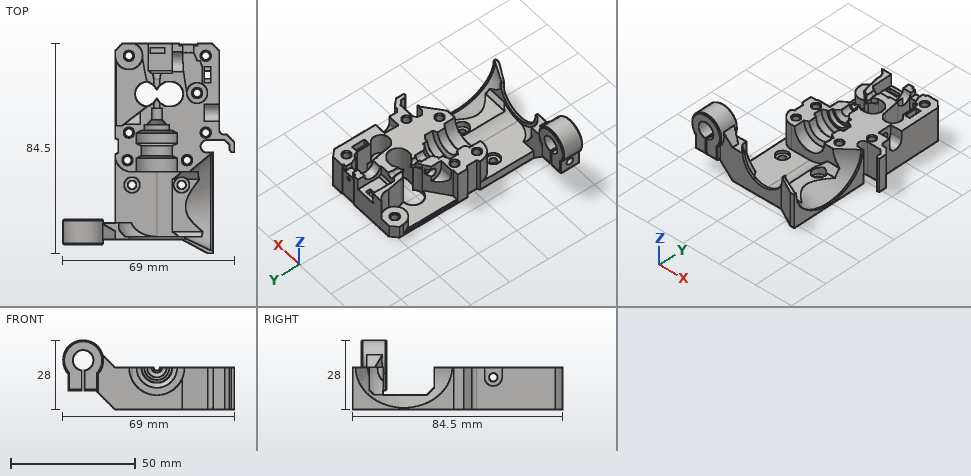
import cadquery as cq


body_height = 17.0
body_left = -16.8
body_right = 25.2
body_rear = 78.9
duct_right = 22.65
corner_chamfer = 2.95
wing_front = -5.6
wing_start = 10.1
wing_tip = 20.45
arm_depth = 6.7
arm_end = -24.4
arm_relief_start = -22.4
arm_relief_y = 3.4

clamp_x = -29.7
clamp_z = 19.85
clamp_radius = 8.1
clamp_bore = 8.2
clamp_front = -2.0
clamp_length = 10.1
clamp_leg_half_width = 6.1
clamp_bottom = 7.7
clamp_slit = 0.9
clamp_edge_chamfer = 0.5
clamp_screw_diameter = 3.4
clamp_screw_y = 3.1
clamp_screw_z = 11.75
clamp_screw_end = -24.5

screw_diameter = 3.3
screw_mouth_diameter = 4.3
screw_left_x = -11.2
screw_right_x = 19.7
screw_rear_y = 73.9
screw_middle_y = 43.0
screw_front_left_x = -11.8
screw_front_right_x = 12.2
screw_front_y = 31.9

recess_floor = 1.8
recess_front = 45.9
recess_corner_x = -13.9
recess_edge_chamfer = 0.5
boss_height = 6.4
boss_radius = 5.5
idler_pivot = (16.2, 59.0)
idler_pivot_radius = 4.1

gear_y = 58.6
gear_radius = 4.9
gear_offset = 3.8
gear_slot_shift = 1.9
gear_lip_bottom = 14.4
gear_lip_outline = (
    (-3.6, 4.9),
    (-1.3, 3.55),
    (0, 1.8),
    (1.3, 3.55),
    (3.6, 4.9),
)

latch_left = -3.5
latch_right = 6.2
latch_front = 67.0
latch_ramp = 1.0
latch_corner_x = -2.2
latch_floor = 11.2
latch_slot_x = (-2.7, 3.1)
latch_slot_y = (75.0, 77.15)
latch_slot_depth = 1.7

spring_y = 71.6
spring_radius = 4.0
spring_end = 10.6
tension_block_left = 10.5
tension_block_right = 14.9
tension_block_front = 75.2
tension_block_drop = 2.5
tension_hole_diameter = 1.8
tension_hole_z = 11.8
rear_groove_left = 8.95
rear_groove_right = 16.4
rear_groove_depth = 0.3
washer_slot_depth = 0.85

nut_slot_x = (19.2, 21.6)
nut_slot_wide_y = (63.1, 69.5)
nut_slot_through_y = (64.8, 67.8)

cross_y = 51.0
cross_z = 13.0
cross_diameter = 3.3
cross_mouth_diameter = 4.05
cross_head_radius = 4.65
cross_head_end = -6.8
cross_mouth_end = -4.2
cross_nut_diameter = 7.0
cross_nut_start = 19.2

chamber_front = 1.2
chamber_rear = 27.2
chamber_right = 19.5
chamber_radius = 12.7
chamber_step_floor = 5.9
chamber_ramp_rear = 3.0
chamber_ramp_front = 1.95
chamber_corner_radius = 6.8
front_opening_radius = 11.15
flare_left_limit = -15.4
duct_screw_x = 10.0
duct_screw_y = 22.0
duct_screw_diameter = 3.4
duct_head_diameter = 6.3
duct_head_floor = 2.95
funnel_start = 11.4
funnel_end = 21.7
funnel_start_y = 13.2
funnel_end_y = 15.0
funnel_start_radii = (12.7, 11.0)
funnel_end_radii = (19.4, 16.2)


def box(x_range, y_range, z_range):
    """Block spanning the given (low, high) ranges."""
    size = [high - low for low, high in (x_range, y_range, z_range)]
    corner = (x_range[0], y_range[0], z_range[0])
    return cq.Workplane("XY").box(*size, centered=False).translate(corner)


def upright(points, bottom=0, top=body_height):
    """Vertical prism over a closed outline."""
    return cq.Workplane("XY").workplane(offset=bottom).polyline(points).close().extrude(top - bottom)


def post(center, radius, bottom=0, top=body_height):
    """Vertical cylinder."""
    return cq.Workplane("XY").workplane(offset=bottom).center(*center).circle(radius).extrude(top - bottom)


def rod_x(y, z, radius, start, end):
    """Cylinder along X."""
    return cq.Workplane("YZ", origin=(start, y, z)).circle(radius).extrude(end - start)


def rod_y(x, z, radius, start, end):
    """Cylinder along Y."""
    return cq.Workplane("XZ", origin=(x, start, z)).circle(radius).extrude(start - end)


def plate_body():
    outline = (
        cq.Workplane("XY")
        .moveTo(body_left, 0)
        .lineTo(wing_start, 0)
        .lineTo(wing_tip, wing_front)
        .lineTo(duct_right, wing_front)
        .lineTo(duct_right, 35.1)
        .lineTo(20.1, 35.1)
        .threePointArc((17.7, 37.5), (20.1, 40.0))
        .lineTo(27.3, 40.0)
        .lineTo(29.2, 38.1)
        .lineTo(29.2, 36.2)
        .lineTo(30.0, 35.1)
        .lineTo(31.2, 35.1)
        .lineTo(31.2, 39.2)
        .lineTo(28.1, 42.3)
        .lineTo(26.95, 42.3)
        .threePointArc((25.7, 42.8), (body_right, 44.1))
        .lineTo(body_right, body_rear - corner_chamfer)
        .lineTo(body_right - corner_chamfer, body_rear)
        .lineTo(body_left + corner_chamfer, body_rear)
        .lineTo(body_left, body_rear - corner_chamfer)
        .lineTo(body_left, 40.7)
        .lineTo(-15.55, 40.1)
        .lineTo(-15.55, 35.0)
        .lineTo(body_left, 34.3)
        .close()
    )
    return outline.extrude(body_height)


def clamp_arm():
    rise = body_left - arm_end
    points = [
        (body_left, 0),
        (body_left, body_height),
        (arm_end, body_height + rise),
        (arm_end, rise),
    ]
    arm = cq.Workplane("XZ").polyline(points).close().extrude(-arm_depth)
    relief = upright(
        [
            (arm_relief_start, arm_depth),
            (body_left, arm_relief_y),
            (body_left, arm_depth),
        ],
        body_height,
        clamp_z + clamp_radius,
    )
    return arm.cut(relief)


def clamp_ring():
    ring = rod_y(clamp_x, clamp_z, clamp_radius, clamp_front, clamp_front + clamp_length)
    legs = box(
        (clamp_x - clamp_leg_half_width, clamp_x + clamp_leg_half_width),
        (clamp_front, clamp_front + clamp_length),
        (clamp_bottom, clamp_z),
    )
    return ring.union(legs).faces("<Y or >Y").edges().chamfer(clamp_edge_chamfer)


def clamp_cuts():
    bore = rod_y(clamp_x, clamp_z, clamp_bore / 2, clamp_front, clamp_front + clamp_length)
    slit = box(
        (clamp_x - clamp_slit / 2, clamp_x + clamp_slit / 2),
        (clamp_front, clamp_front + clamp_length),
        (clamp_bottom, clamp_z),
    )
    screw = rod_x(
        clamp_screw_y, clamp_screw_z, clamp_screw_diameter / 2,
        clamp_x - clamp_radius, clamp_screw_end,
    )
    return bore.union(slit).union(screw)


def side_recess():
    """Open recess on the left side, with the rear screw boss left standing in it."""
    floor_area = upright(
        [
            (body_left, recess_front),
            (recess_corner_x, recess_front),
            (-gear_offset, gear_y - gear_radius),
            (-gear_offset, gear_y),
            (-gear_offset, gear_y + gear_radius),
            (-4.4, 65.2),
            (screw_left_x + boss_radius, 72.7),
            (screw_left_x, screw_rear_y),
            (body_left, screw_rear_y),
        ],
        recess_floor,
    )
    edge = recess_floor - recess_edge_chamfer
    bevel = (
        cq.Workplane("XZ", origin=(0, recess_front, 0))
        .polyline([
            (body_left, edge),
            (body_left + recess_edge_chamfer, recess_floor),
            (body_left, recess_floor),
        ])
        .close()
        .extrude(recess_front - screw_rear_y)
    )
    boss_center = (screw_left_x, screw_rear_y)
    boss_area = post(boss_center, boss_radius).union(
        box((body_left, screw_left_x), (screw_rear_y, body_rear), (0, body_height))
    )
    above_boss = boss_area.intersect(
        box((body_left, 0), (recess_front, body_rear), (boss_height, body_height))
    )
    return floor_area.union(bevel).cut(boss_area).union(above_boss)


def idler_pocket():
    pocket = upright(
        [
            (10.3, tension_block_front),
            (tension_block_right, tension_block_front),
            (16.3, 71.9),
            (17.4, 71.9),
            (18.25, 69.6),
            (18.25, idler_pivot[1]),
            (12.1, idler_pivot[1]),
            (10.7, 67.6),
        ],
        recess_floor,
    )
    seat = post(idler_pivot, idler_pivot_radius)
    return pocket.cut(seat).union(post(idler_pivot, idler_pivot_radius, boss_height))


def gear_window():
    left = post((-gear_offset, gear_y), gear_radius)
    right = post((gear_offset, gear_y), gear_radius)
    shifted = post((gear_offset + gear_slot_shift, gear_y), gear_radius)
    bridge = box(
        (gear_offset, gear_offset + gear_slot_shift),
        (gear_y - gear_radius, gear_y + gear_radius),
        (0, body_height),
    )
    window = left.union(right).union(shifted).union(bridge)
    for side in (1, -1):
        lip = upright(
            [(x, gear_y + side * distance) for x, distance in gear_lip_outline],
            gear_lip_bottom,
        )
        window = window.cut(lip)
    return window


def latch_pocket():
    """Pocket with a cut-off front left corner, a ramp along its front wall and a floor slot."""
    ramp_rear = latch_front + latch_ramp
    pocket = upright(
        [
            (latch_left, body_rear),
            (latch_left, ramp_rear),
            (latch_corner_x, latch_front),
            (latch_right, latch_front),
            (latch_right, body_rear),
        ],
        latch_floor,
    )
    ramp = (
        cq.Workplane("YZ", origin=(latch_left, 0, 0))
        .polyline([
            (latch_front, latch_floor),
            (latch_front, latch_floor + latch_ramp),
            (ramp_rear, latch_floor),
        ])
        .close()
        .extrude(latch_right - latch_left)
    )
    slot = box(latch_slot_x, latch_slot_y, (latch_floor - latch_slot_depth, latch_floor))
    return pocket.cut(ramp).union(slot)


def tension_seat():
    spring = rod_x(spring_y, body_height, spring_radius, latch_right, spring_end)
    top = body_height - tension_block_drop
    lowered = box(
        (tension_block_left, tension_block_right), (tension_block_front, body_rear), (top, body_height)
    )
    groove_x = (rear_groove_left, rear_groove_right)
    groove_front = body_rear - rear_groove_depth
    groove = box(groove_x, (groove_front, body_rear), (0, body_height))
    washer_slot = box(groove_x, (body_rear - washer_slot_depth, body_rear), (top, body_height))
    hole_x = (tension_block_left + tension_block_right) / 2
    hole = rod_y(hole_x, tension_hole_z, tension_hole_diameter / 2, tension_block_front, body_rear)
    return spring.union(lowered).union(groove).union(washer_slot).union(hole)


def stepped_slot():
    """Nut slot that narrows to a through slot at half height."""
    wide = box(nut_slot_x, nut_slot_wide_y, (body_height / 2, body_height))
    return wide.union(box(nut_slot_x, nut_slot_through_y, (0, body_height)))


def cross_screw():
    hole = rod_x(cross_y, cross_z, cross_diameter / 2, body_left, body_right)
    mouth = rod_x(cross_y, cross_z, cross_mouth_diameter / 2, cross_head_end, cross_mouth_end)
    cuts = hole.union(mouth)
    nut_radius = cross_nut_diameter / 2
    for radius, start, end in (
        (cross_head_radius, recess_corner_x, cross_head_end),
        (nut_radius, cross_nut_start, body_right),
    ):
        seat = rod_x(cross_y, cross_z, radius, start, end)
        opening = box((start, end), (cross_y - radius, cross_y + radius), (cross_z, body_height))
        cuts = cuts.union(seat).union(opening)
    return cuts


def hot_end_bore():
    """Turned cavity along the hot-end axis, from the chamber to the latch pocket."""
    profile = [
        (0, chamber_rear),
        (8.2, chamber_rear),
        (8.2, 32.7),
        (6.25, 33.7),
        (6.25, 37.7),
        (8.2, 38.7),
        (8.2, 42.8),
        (6.1, 43.9),
        (5.1, 43.9),
        (5.1, 46.2),
        (4.0, 46.2),
        (2.1, 48.25),
        (2.1, 52.9),
        (1.3, 52.9),
        (1.3, 64.7),
        (1.7, latch_front),
        (0, latch_front),
    ]
    bore = cq.Workplane("XY").polyline(profile).close().revolve(360, (0, 0, 0), (0, 1, 0))
    return bore.translate((0, 0, body_height))


def chamber():
    """Air chamber with a flat left floor, a round trough and a raised right floor."""
    floor = body_height - chamber_radius
    left = box((body_left, 0), (arm_depth, chamber_rear), (floor, body_height))
    corner_x = body_left + chamber_corner_radius
    corner_y = chamber_rear + chamber_corner_radius
    corner = box((body_left, corner_x), (chamber_rear, corner_y), (floor, body_height))
    corner = corner.cut(post((corner_x, corner_y), chamber_corner_radius))
    trough = rod_y(0, body_height, chamber_radius, chamber_front, chamber_rear)
    right_profile = [
        (chamber_front, body_height),
        (chamber_front, chamber_step_floor + chamber_ramp_front),
        (chamber_front + chamber_ramp_front, chamber_step_floor),
        (chamber_rear - chamber_ramp_rear, chamber_step_floor),
        (chamber_rear, chamber_step_floor + chamber_ramp_rear),
        (chamber_rear, body_height),
    ]
    right = cq.Workplane("YZ").polyline(right_profile).close().extrude(chamber_right)
    return left.union(corner).union(trough).union(right)


def front_opening():
    """Round opening through the front wall, flaring into the chamber behind it."""
    flare = (
        cq.Workplane("XY")
        .lineTo(front_opening_radius, 0)
        .lineTo(front_opening_radius, chamber_front)
        .lineTo(chamber_radius, chamber_front)
        .threePointArc((14.9, 3.55), (16.3, arm_depth))
        .lineTo(0, arm_depth)
        .close()
        .revolve(360, (0, 0, 0), (0, 1, 0))
        .translate((0, 0, body_height))
    )
    floor = body_height - chamber_radius
    opening = box((flare_left_limit, 0), (0, arm_depth), (floor, body_height))
    flare_left = flare.intersect(opening)
    round_opening = rod_y(0, body_height, front_opening_radius, wing_front, chamber_front)
    return flare_left.union(round_opening)


def funnel():
    """Elliptical fan funnel that widens toward the right side."""
    shift = funnel_end_y - funnel_start_y
    cone = (
        cq.Workplane("YZ", origin=(funnel_start, funnel_start_y, body_height))
        .ellipse(*funnel_start_radii)
        .workplane(offset=funnel_end - funnel_start)
        .center(shift, 0)
        .ellipse(*funnel_end_radii)
        .loft(ruled=True)
    )
    rim = (
        cq.Workplane("YZ", origin=(funnel_end, funnel_end_y, body_height))
        .ellipse(*funnel_end_radii)
        .extrude(duct_right - funnel_end)
    )
    return cone.union(rim)


def screw_hole(center, top):
    """Through hole with a chamfered mouth."""
    mouth = (screw_mouth_diameter - screw_diameter) / 2
    profile = [
        (0, 0),
        (screw_diameter / 2, 0),
        (screw_diameter / 2, top - mouth),
        (screw_mouth_diameter / 2, top),
        (0, top),
    ]
    hole = cq.Workplane("XZ").polyline(profile).close().revolve(360, (0, 0, 0), (0, 1, 0))
    return hole.translate((*center, 0))


def duct_screw(x):
    center = (x, duct_screw_y)
    hole = post(center, duct_screw_diameter / 2)
    return hole.union(post(center, duct_head_diameter / 2, duct_head_floor))


result = plate_body().union(clamp_arm()).union(clamp_ring())
for cut in (
    clamp_cuts(), side_recess(), idler_pocket(), gear_window(), latch_pocket(), tension_seat(),
    stepped_slot(), cross_screw(), hot_end_bore(), chamber(), front_opening(), funnel(),
):
    result = result.cut(cut)

for center, top in (
    ((screw_left_x, screw_rear_y), boss_height),
    ((screw_right_x, screw_rear_y), body_height),
    ((screw_left_x, screw_middle_y), body_height),
    ((screw_right_x, screw_middle_y), body_height),
    ((screw_front_left_x, screw_front_y), body_height),
    ((screw_front_right_x, screw_front_y), body_height),
    (idler_pivot, boss_height),
):
    result = result.cut(screw_hole(center, top))

for x in (-duct_screw_x, duct_screw_x):
    result = result.cut(duct_screw(x))